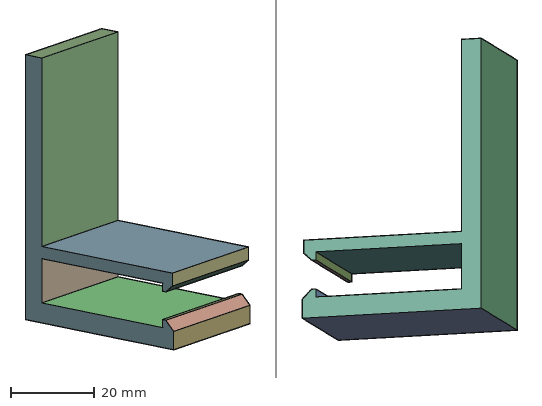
import cadquery as cq

base_length = 44.95
width = 30.0
height = 66.0

post_thickness = 4.95
base_thickness = 5.0
arm_thickness = 3.05

slot_height = 11.0
arm_length = 44.55

lip_start = 41.5
lip_height = 2.0
lip_tip_width = 1.05
base_bevel_height = 2.4
arm_bevel_height = 1.8

arm_bottom = base_thickness + slot_height
arm_top = arm_bottom + arm_thickness
base_lip_top = base_thickness + lip_height
arm_lip_bottom = arm_bottom - lip_height
lip_tip_end = lip_start + lip_tip_width

outline = [
    (0, 0),
    (base_length, 0),
    (base_length, base_lip_top - base_bevel_height),
    (lip_tip_end, base_lip_top),
    (lip_start, base_lip_top),
    (lip_start, base_thickness),
    (post_thickness, base_thickness),
    (post_thickness, arm_bottom),
    (lip_start, arm_bottom),
    (lip_start, arm_lip_bottom),
    (lip_tip_end, arm_lip_bottom),
    (arm_length, arm_lip_bottom + arm_bevel_height),
    (arm_length, arm_top),
    (post_thickness, arm_top),
    (post_thickness, height),
    (0, height),
]

result = cq.Workplane("XZ").polyline(outline).close().extrude(width / 2, both=True)